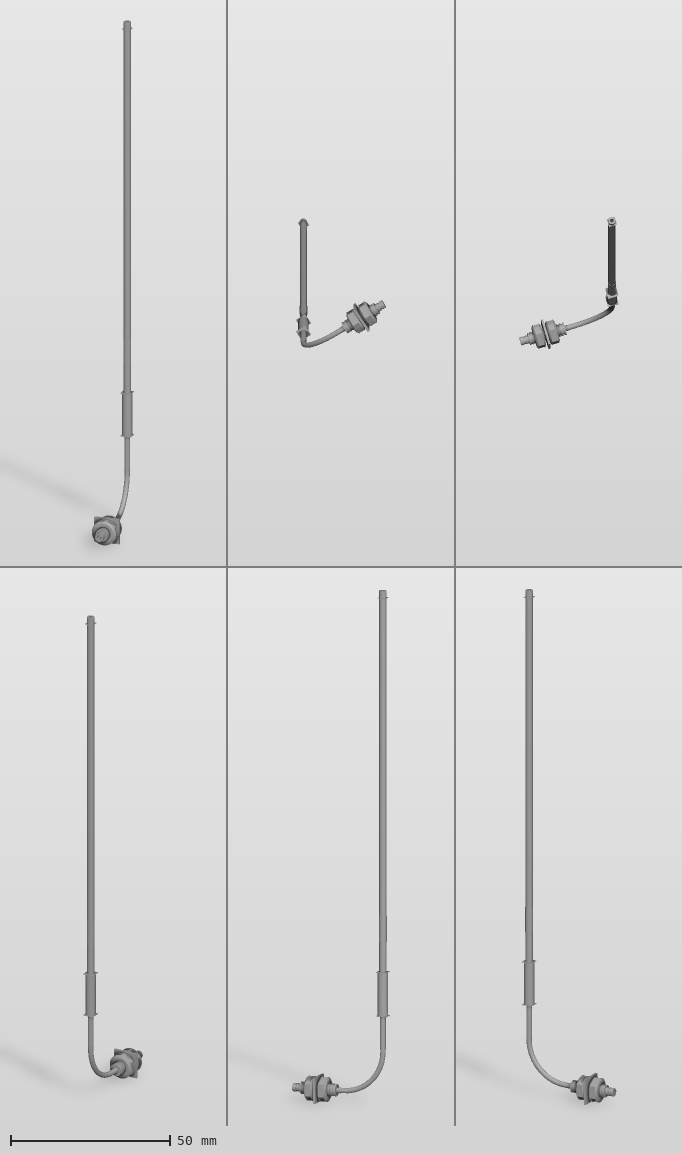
import cadquery as cq

overall_depth = 31.6
bend_radius = 13.2

whip_top = 160.7
collar_height = 158.4
band_lip_top = 58.7
band_top = 56.7
band_bottom = 48.5
sleeve_top = 38.9
sleeve_bottom = 24.7

whip_diameter = 2.3
whip_bore_diameter = 1.2
band_bore_diameter = 1.6
band_diameter = 2.5
sleeve_diameter = 3.3
flange_side = 3.5
flange_thickness = 0.2
collar_side = 2.6

cable_diameter = 1.6
cable_end_diameter = 1.8
cable_end_gap = 0.8

connector_back = 15.3
thread_end = 27.2
tip_end = overall_depth - flange_side / 2
thread_diameter = 4.0
thread_root_diameter = 3.5
groove_width = 0.5
thread_pitch = 1.0
tip_diameter = 2.6
tip_groove_diameter = 2.3
tip_groove_start = 28.3
tip_bore_diameter = 1.6
tip_bore_depth = 1.6
contact_diameter = 0.7

nut_diameter = 7.9
nut_face_diameter = 6.5
nut_thickness = 3.0
nut_chamfer_height = 0.5
nut_bore_chamfer = 0.3
rear_nut_start = 18.0
front_nut_start = 22.4
plate_side = 8.2
plate_thickness = 0.7
plate_start = 21.3


def upright_cylinder(diameter, bottom, top):
    """Solid cylinder on the Z axis."""
    return cq.Workplane("XY", origin=(0, 0, bottom)).circle(diameter / 2).extrude(top - bottom)


def upright_square(side, bottom):
    """Thin square flange centred on the Z axis."""
    return cq.Workplane("XY", origin=(0, 0, bottom)).rect(side, side).extrude(flange_thickness)


def lying_cylinder(diameter, start, end):
    """Solid cylinder on the connector axis."""
    return cq.Workplane("XZ", origin=(0, -start, 0)).circle(diameter / 2).extrude(end - start)


def make_whip():
    rod = upright_cylinder(whip_diameter, sleeve_top, whip_top)
    recess = upright_cylinder(whip_diameter, band_bottom, band_lip_top)
    neck = upright_cylinder(band_bore_diameter, band_bottom, band_lip_top)
    collar = upright_square(collar_side, collar_height - flange_thickness / 2)
    bore = upright_cylinder(whip_bore_diameter, collar_height, whip_top)
    return rod.cut(recess).union(neck).union(collar).cut(bore)


def make_band():
    band = upright_cylinder(band_diameter, band_bottom, band_top)
    lip = upright_cylinder(whip_diameter, band_top, band_lip_top)
    bore = upright_cylinder(band_bore_diameter, band_bottom, band_lip_top)
    return band.union(lip).cut(bore)


def make_sleeve():
    barrel = upright_cylinder(sleeve_diameter, sleeve_bottom, sleeve_top)
    upper_flange = upright_square(flange_side, sleeve_top - flange_thickness)
    lower_flange = upright_square(flange_side, sleeve_bottom)
    return barrel.union(upper_flange).union(lower_flange)


def make_cable():
    path = (
        cq.Workplane("YZ")
        .moveTo(0, sleeve_bottom)
        .lineTo(0, bend_radius)
        .radiusArc((-bend_radius, 0), bend_radius)
        .lineTo(-connector_back, 0)
    )
    core = cq.Workplane("XY", origin=(0, 0, sleeve_bottom)).circle(cable_diameter / 2).sweep(path)
    jacket_limit = bend_radius + cable_end_gap
    upper_end = upright_cylinder(cable_end_diameter, jacket_limit, sleeve_bottom)
    lower_end = lying_cylinder(cable_end_diameter, jacket_limit, connector_back)
    return core.union(upper_end).union(lower_end)


def groove_ring(outer_diameter, root_diameter, start):
    """Ring of material that a groove takes away."""
    outer = lying_cylinder(outer_diameter, start, start + groove_width)
    return outer.cut(lying_cylinder(root_diameter, start, start + groove_width))


def cut_thread(body, start, end):
    """Ring grooves at the thread pitch from start to end."""
    place = start
    while place + groove_width < end:
        body = body.cut(groove_ring(thread_diameter, thread_root_diameter, place))
        place += thread_pitch
    return body


def make_connector():
    body = lying_cylinder(thread_diameter, connector_back, thread_end)
    body = cut_thread(body, connector_back + groove_width, rear_nut_start)
    body = cut_thread(body, front_nut_start + nut_thickness, thread_end)
    bore_start = tip_end - tip_bore_depth
    tip = lying_cylinder(tip_diameter, thread_end, tip_end)
    tip = tip.cut(groove_ring(tip_diameter, tip_groove_diameter, tip_groove_start))
    tip_bore = lying_cylinder(tip_bore_diameter, bore_start, tip_end)
    contact = lying_cylinder(contact_diameter, bore_start, tip_end)
    return body.union(tip).cut(tip_bore).union(contact)


def cone(outer_place, outer_diameter, inner_place, inner_diameter):
    """Cone on the connector axis between two places, with a diameter at each."""
    return (
        cq.Workplane("XY")
        .moveTo(0, -outer_place)
        .lineTo(outer_diameter / 2, -outer_place)
        .lineTo(inner_diameter / 2, -inner_place)
        .lineTo(0, -inner_place)
        .close()
        .revolve(360, (0, 0, 0), (0, 1, 0))
    )


def make_nut(start):
    """Hexagon nut with a conical end and a chamfered bore mouth on both sides."""
    end = start + nut_thickness
    hexagon_start = start + nut_chamfer_height
    hexagon_end = end - nut_chamfer_height
    nut = (
        cq.Workplane("XZ", origin=(0, -hexagon_start, 0))
        .transformed(rotate=(0, 0, 90))
        .polygon(6, nut_diameter)
        .extrude(hexagon_end - hexagon_start)
    )
    for face, shoulder in ((start, hexagon_start), (end, hexagon_end)):
        nut = nut.union(cone(face, nut_face_diameter, shoulder, nut_diameter))
    nut = nut.cut(lying_cylinder(thread_diameter, start, end))
    mouth_diameter = thread_diameter + 2 * nut_bore_chamfer
    for face, depth in ((start, nut_bore_chamfer), (end, -nut_bore_chamfer)):
        nut = nut.cut(cone(face, mouth_diameter, face + depth, thread_diameter))
    return nut


def make_plate():
    return (
        cq.Workplane("XZ", origin=(0, -plate_start, 0))
        .rect(plate_side, plate_side)
        .circle(thread_diameter / 2)
        .extrude(plate_thickness)
    )


whip = make_whip()
band = make_band()
sleeve = make_sleeve()
cable = make_cable()
connector = make_connector()
plate = make_plate()
nuts = [make_nut(start) for start in (rear_nut_start, front_nut_start)]

result = cq.Compound.makeCompound(
    [
        whip.val(),
        band.val(),
        sleeve.val(),
        cable.val(),
        connector.val(),
        plate.val(),
        *[nut.val() for nut in nuts],
    ]
)